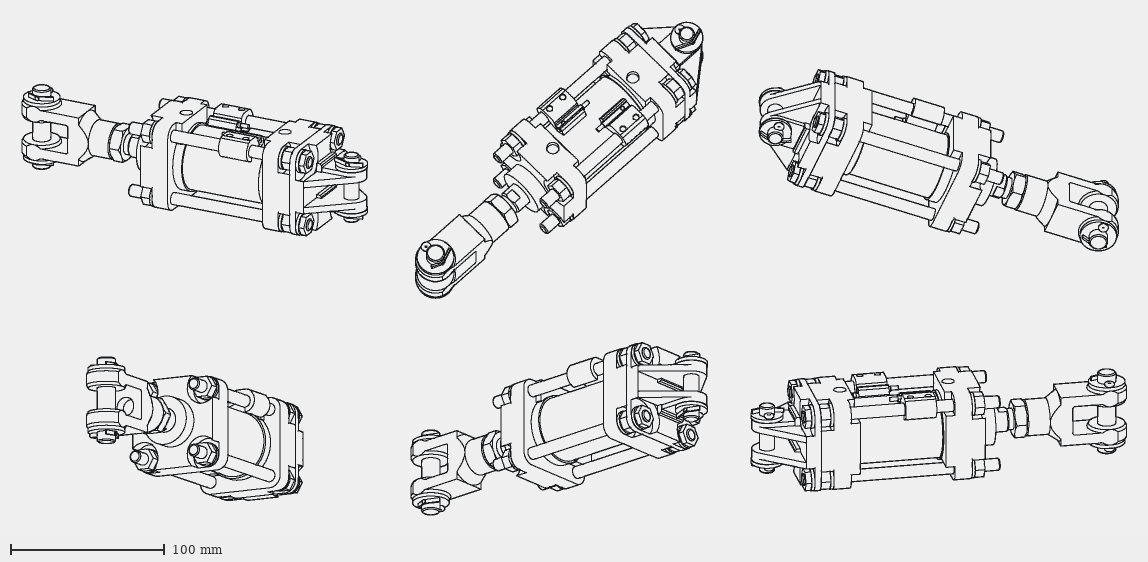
import cadquery as cq
import math


clevis_width = 24.0
clevis_height = 34.0
clevis_slot_height = 20.0
clevis_slot_end = 25.0
clevis_slot_fillet = 1.5
clevis_end_radius = 13.0
clevis_boss_height = 2.0
clevis_boss_top_radius = 12.0
clevis_cheek_end = 33.0
clevis_barrel_start = 40.0
clevis_barrel_diameter = 24.0
clevis_barrel_end = 55.0
clevis_barrel_chamfer = 0.7
clevis_pin_diameter = 12.0
clevis_pin_length = 55.6
clevis_washer_diameter = 24.0
clevis_washer_thickness = 2.4
pin_chamfer = 0.8

rod_diameter = 16.0
rod_thread_diameter = 14.0
rod_tip_diameter = 12.38
rod_tip_start = clevis_slot_end + 8.0
lock_nut_flats = 22.0
lock_nut_length = 8.0
nut_chamfer = 0.8
rod_shoulder = 66.4
rod_shoulder_chamfer = 1.0
rod_flats = 14.0
rod_flats_end = 72.5

section = 60.0
tie_offset = 22.0
corner_radius = section / 2 - tie_offset
cover_start = 77.0
cover_diameter = 32.0
head_front = 87.0
head_length = 20.0
barrel_length = 69.0
barrel_diameter = 43.0
collar_diameter = 45.5
collar_length = 6.5
tie_diameter = 8.0
tie_start = 76.0
tie_chamfer = 0.8
tie_nut_flats = 13.0
tie_nut_length = 6.5
tie_washer_diameter = 15.4
tie_washer_thickness = 2.0
pocket_radius = 11.0
pocket_depth = tie_nut_length + tie_washer_thickness
port_diameter = 8.0
port_depth = 4.0
port_setback = 1.5
boss_width = 36.0
port_boss_bottom = 15.3
port_boss_length = 4.5
side_boss_length = 6.0

plate_thickness = 10.0
plate_pocket_depth = 5.8
plate_pocket_radius = 13.2
tie_overhang = 1.0
rear_pin_distance = 20.0
lug_radius = 10.0
lug_inner = 7.0
lug_outer = 14.5
gusset_outer = 11.4
lug_root_length = 3.5
lug_root_width = 21.6
lug_root_inner = 5.0
lug_root_outer = 17.2
lug_root_chamfer = 1.0
rear_pin_diameter = 10.0
rear_pin_length = 46.2
rear_washer_diameter = 21.0
rear_washer_thickness = 2.5

split_wire = 2.7
split_leg_thickness = 1.3
split_eye_radius = 1.9
split_stem = 1.4
split_bedding = 0.1

switch_start = 119.0
switch_length = 20.4
switch_top = section / 2
switch_hook_side = 29.1
switch_hook_bottom = 14.7
switch_shoulder = 16.8
switch_shoulder_radius = 4.5
switch_top_end = 23.7
switch_upper_bevel = (26.0, 29.0)
switch_lower_bevel = (28.2, 26.0)
switch_lip_top = 27.5
switch_lip_inner = 8.5
switch_lip_outer = 7.1
switch_lip_bevel = (5.5, 26.2)
switch_lip_toe = (3.8, 22.4)
switch_sole_start = 6.0
switch_sole_end = 10.0
slot_tilt = 21.0
slot_floor = 24.2
slot_width = 4.2
slot_depth = 6.0
sensor_diameter = 4.0
sensor_flat_height = 3.3
sensor_bedding = 0.2
sensor_overhang = 1.6
cable_diameter = 2.7
cable_length = 5.2
trim_diameter = 2.5
trim_depth = 0.8
trim_inset = 5.0
screw_diameter = 4.0
screw_recess = 1.5
screw_pitch = 11.8
screw_first = 4.2
screw_y = 21.6

head_rear = head_front + head_length
rear_head_front = head_rear + barrel_length
rear_head_rear = rear_head_front + head_length
plate_rear = rear_head_rear + plate_thickness
rear_pin_x = plate_rear + rear_pin_distance
cylinder_middle = (head_front + rear_head_rear) / 2
tie_points = [(y * tie_offset, z * tie_offset) for y in (-1, 1) for z in (-1, 1)]


def at_x(x):
    """Workplane across the cylinder axis: local x is Y, local y is Z, normal is +X."""
    return cq.Workplane("YZ", origin=(x, 0, 0))


def rod_along_x(diameter, start, end, y=0.0, z=0.0):
    return at_x(start).center(y, z).circle(diameter / 2).extrude(end - start)


def block(x, y, z):
    """Box from three (low, high) ranges."""
    return cq.Workplane("XY").box(
        x[1] - x[0], y[1] - y[0], z[1] - z[0], centered=False
    ).translate((x[0], y[0], z[0]))


def hex_prism(flats, start, length, y=0.0, z=0.0):
    """Hexagon along X with two flats facing +Z and -Z."""
    corners = flats / math.cos(math.pi / 6)
    return at_x(start).center(y, z).polygon(6, corners).extrude(length)


def both_ends(upper):
    """A feature and its mirror image below the XY plane."""
    return upper.union(upper.mirror("XY"))


def make_rod_clevis():
    half_width = clevis_width / 2
    half_height = clevis_height / 2
    half_slot = clevis_slot_height / 2
    barrel_radius = clevis_barrel_diameter / 2

    cheeks = block((0, clevis_cheek_end), (-half_width, half_width), (-half_height, half_height))
    cheeks = cheeks.union(
        cq.Workplane("XY", origin=(0, 0, -half_height)).circle(clevis_end_radius).extrude(clevis_height)
    )
    slot = block((-clevis_end_radius, clevis_slot_end), (-half_width, half_width), (-half_slot, half_slot))
    slot = slot.union(
        block((-clevis_end_radius, 0), (-clevis_width, clevis_width), (-half_slot, half_slot))
    )
    slot = slot.edges("|Y and >X").fillet(clevis_slot_fillet)

    boss_profile = [
        (0, half_slot - clevis_boss_height),
        (clevis_boss_top_radius, half_slot - clevis_boss_height),
        (clevis_end_radius, half_slot),
        (clevis_end_radius, half_height),
        (clevis_boss_top_radius, half_height + clevis_boss_height),
        (0, half_height + clevis_boss_height),
    ]
    boss = cq.Workplane("XZ").polyline(boss_profile).close().revolve(360, (0, 0), (0, 1))

    taper_profile = [
        (clevis_cheek_end, 0),
        (clevis_cheek_end, half_height),
        (clevis_barrel_start, barrel_radius),
        (clevis_barrel_start, 0),
    ]
    taper = cq.Workplane("XY").polyline(taper_profile).close().revolve(360, (0, 0), (1, 0))
    barrel = rod_along_x(clevis_barrel_diameter, clevis_barrel_start, clevis_barrel_end)
    barrel = barrel.faces(">X").chamfer(clevis_barrel_chamfer)

    side_limit = block(
        (-clevis_end_radius, clevis_barrel_end), (-half_width, half_width), (-clevis_height, clevis_height)
    )
    pin_hole = cq.Workplane("XY", origin=(0, 0, -clevis_height)).circle(clevis_pin_diameter / 2)
    return (
        cheeks.cut(slot)
        .union(both_ends(boss))
        .union(taper)
        .union(barrel)
        .intersect(side_limit)
        .cut(pin_hole.extrude(2 * clevis_height))
        .cut(rod_along_x(rod_tip_diameter, clevis_slot_end - clevis_slot_fillet, clevis_barrel_end))
    )


def make_split_pin(pin_radius, eye_y, left_tip, right_tip):
    """Split pin along Y at Z = 0: an eye on +Y and two legs bent back around the pin."""
    eye = cq.Workplane("XZ", origin=(0, eye_y, 0)).center(split_eye_radius, 0).circle(split_wire / 2)
    eye = eye.revolve(360, (-split_eye_radius, 0), (-split_eye_radius, 1))
    root = (0, -pin_radius - split_leg_thickness / 2)
    stem_length = pin_radius + split_stem
    stem = cq.Workplane("XZ").circle(split_wire / 2).extrude(stem_length)
    split_pin = eye.union(stem)
    for tip in (left_tip, right_tip):
        run_x = tip[0] - root[0]
        run_y = tip[1] - root[1]
        leg = (
            cq.Workplane("XY")
            .box(math.hypot(run_x, run_y), split_leg_thickness, split_wire, centered=(False, True, True))
            .rotate((0, 0, 0), (0, 0, 1), math.degrees(math.atan2(run_y, run_x)))
            .translate((root[0], root[1], 0))
        )
        split_pin = split_pin.union(leg)
    return split_pin


def make_pin(x, diameter, length, washer_diameter, washer_thickness, washer_base, split_pin):
    pin = cq.Workplane("XY", origin=(0, 0, -length / 2)).circle(diameter / 2).extrude(length)
    pin = pin.faces("<Z or >Z").chamfer(pin_chamfer)
    washer = cq.Workplane("XY", origin=(0, 0, washer_base)).circle(washer_diameter / 2)
    washer = washer.extrude(washer_thickness)
    split_z = washer_base + washer_thickness + split_wire / 2 - split_bedding
    ends = washer.union(split_pin.translate((0, 0, split_z)))
    return pin.union(both_ends(ends)).translate((x, 0, 0))


def make_piston_rod():
    nut_start = clevis_barrel_end
    tip = rod_along_x(rod_tip_diameter, rod_tip_start, nut_start)
    thread = rod_along_x(rod_thread_diameter, nut_start, rod_shoulder)
    shank = rod_along_x(rod_diameter, rod_shoulder, head_rear).faces("<X").chamfer(rod_shoulder_chamfer)
    for side in (-1, 1):
        flat = block((rod_shoulder, rod_flats_end), (-rod_diameter, rod_diameter), (0, rod_diameter))
        flat = flat.translate((0, 0, rod_flats / 2))
        shank = shank.cut(flat if side > 0 else flat.mirror("XY"))

    corner_disc = rod_along_x(
        lock_nut_flats / math.cos(math.pi / 6), nut_start, nut_start + lock_nut_length
    )
    corner_disc = corner_disc.faces("<X or >X").chamfer(nut_chamfer, 2 * nut_chamfer)
    nut = hex_prism(lock_nut_flats, nut_start, lock_nut_length).intersect(corner_disc)
    return tip.union(thread).union(shank).union(nut)


def end_block(start, length):
    """Square block across the axis with its corners rounded about the tie rods."""
    return at_x(start).rect(section, section).extrude(length).edges("|X").fillet(corner_radius)


def corner_pockets(start, depth, radius):
    return at_x(start).pushPoints(tie_points).circle(radius).extrude(depth)


def make_front_head():
    half = section / 2
    half_boss = boss_width / 2
    port_x = head_rear - port_setback
    head = end_block(head_front, head_length)
    head = head.cut(corner_pockets(head_front, pocket_depth, pocket_radius))
    port_boss = block(
        (head_rear, head_rear + port_boss_length), (-half_boss, half_boss), (port_boss_bottom, half)
    )
    side_boss = block(
        (head_rear, head_rear + side_boss_length), (port_boss_bottom, half), (-half_boss, half_boss)
    )
    collar = rod_along_x(collar_diameter, head_rear, head_rear + collar_length)
    port = cq.Workplane("XY", origin=(port_x, 0, half - port_depth)).circle(port_diameter / 2)
    return head.union(port_boss).union(side_boss).union(collar).cut(port.extrude(port_depth))


def make_cylinder():
    front_head = make_front_head()
    rear_head = front_head.mirror("YZ", (cylinder_middle, 0, 0))
    cover = rod_along_x(cover_diameter, cover_start, head_front)
    barrel = rod_along_x(barrel_diameter, head_rear, rear_head_front)
    cylinder = front_head.union(rear_head).union(cover).union(barrel)

    rear_washer_start = plate_rear - plate_pocket_depth
    rear_nut_start = rear_washer_start + tie_washer_thickness
    fastenings = [
        (head_front, tie_nut_length, head_front + tie_nut_length),
        (rear_head_rear - tie_nut_length, tie_nut_length, rear_head_rear - pocket_depth),
        (rear_nut_start, plate_rear - rear_nut_start, rear_washer_start),
    ]
    for y, z in tie_points:
        tie_rod = rod_along_x(tie_diameter, tie_start, plate_rear + tie_overhang, y, z)
        cylinder = cylinder.union(tie_rod.faces("<X or >X").chamfer(tie_chamfer))
        for nut_start, nut_length, washer_start in fastenings:
            washer_end = washer_start + tie_washer_thickness
            nut = hex_prism(tie_nut_flats, nut_start, nut_length, y, z)
            washer = rod_along_x(tie_washer_diameter, washer_start, washer_end, y, z)
            cylinder = cylinder.union(nut).union(washer)
    return cylinder.cut(rod_along_x(rod_diameter, cover_start, head_rear))


def make_rear_bracket():
    half = section / 2
    plate = end_block(rear_head_rear, plate_thickness)
    plate = plate.cut(
        corner_pockets(plate_rear - plate_pocket_depth, plate_pocket_depth, plate_pocket_radius)
    )

    reach = math.hypot(rear_pin_distance, half)
    tangent_angle = math.pi - math.atan2(half, rear_pin_distance) - math.acos(lug_radius / reach)
    tangent_x = rear_pin_x + lug_radius * math.cos(tangent_angle)
    tangent_y = lug_radius * math.sin(tangent_angle)
    gusset = (
        cq.Workplane("XY", origin=(0, 0, lug_inner))
        .moveTo(plate_rear, -half)
        .lineTo(tangent_x, -tangent_y)
        .threePointArc((rear_pin_x + lug_radius, 0), (tangent_x, tangent_y))
        .lineTo(plate_rear, half)
        .close()
        .extrude(gusset_outer - lug_inner)
    )
    lug = block((plate_rear, rear_pin_x), (-lug_radius, lug_radius), (lug_inner, lug_outer))
    lug_end = cq.Workplane("XY", origin=(rear_pin_x, 0, lug_inner)).circle(lug_radius)
    lug = lug.union(lug_end.extrude(lug_outer - lug_inner))
    root = block(
        (plate_rear, plate_rear + lug_root_length),
        (-lug_root_width / 2, lug_root_width / 2),
        (lug_root_inner, lug_root_outer),
    )
    root = root.edges("|Y and >X").chamfer(lug_root_chamfer)

    pin_hole = cq.Workplane("XY", origin=(rear_pin_x, 0, -half)).circle(rear_pin_diameter / 2)
    return (
        plate.union(both_ends(gusset.union(lug).union(root)))
        .cut(pin_hole.extrude(section))
        .cut(corner_pockets(rear_head_rear, plate_thickness, tie_diameter / 2))
    )


def make_switch_bracket():
    """Hook over a tie rod with an arm that rests on the barrel."""
    barrel_radius = barrel_diameter / 2
    tie_radius = tie_diameter / 2
    tie_mid = tie_radius * math.sqrt(0.5)
    shoulder_z = switch_top - switch_shoulder_radius
    shoulder_mid = switch_shoulder_radius * math.sqrt(0.5)
    sole_y = (switch_sole_start + switch_sole_end) / 2

    def on_barrel(y):
        return (y, math.sqrt(barrel_radius**2 - y**2))

    return (
        at_x(switch_start)
        .moveTo(*switch_lip_toe)
        .lineTo(*switch_lip_bevel)
        .lineTo(switch_lip_outer, switch_lip_top)
        .lineTo(switch_lip_inner, switch_lip_top)
        .lineTo(switch_shoulder - switch_shoulder_radius, shoulder_z)
        .threePointArc(
            (switch_shoulder - shoulder_mid, shoulder_z + shoulder_mid), (switch_shoulder, switch_top)
        )
        .lineTo(switch_top_end, switch_top)
        .lineTo(*switch_upper_bevel)
        .lineTo(*switch_lower_bevel)
        .threePointArc((switch_hook_side, tie_offset), (tie_offset, switch_hook_bottom))
        .lineTo(tie_offset, tie_offset - tie_radius)
        .threePointArc((tie_offset + tie_mid, tie_offset + tie_mid), (tie_offset - tie_radius, tie_offset))
        .lineTo(*on_barrel(switch_sole_end))
        .threePointArc(on_barrel(sole_y), on_barrel(switch_sole_start))
        .close()
        .extrude(switch_length)
    )


def make_switch():
    """Switch bracket with two clamp screw holes and a sensor in a slot square to the barrel."""
    switch_end = switch_start + switch_length
    sensor_end = switch_end + sensor_overhang
    sensor_base = slot_floor - sensor_bedding
    sensor_z = sensor_base + sensor_diameter / 2
    sensor_top = sensor_base + sensor_flat_height
    half_slot = slot_width / 2

    slot = block((switch_start, switch_end), (-half_slot, half_slot), (slot_floor, slot_floor + slot_depth))
    sensor = rod_along_x(sensor_diameter, switch_start, sensor_end, 0, sensor_z)
    sensor = sensor.intersect(
        block((switch_start, sensor_end), (-half_slot, half_slot), (sensor_base, sensor_top))
    )
    trim = cq.Workplane("XY", origin=(switch_start + trim_inset, 0, sensor_top - trim_depth))
    sensor = sensor.cut(trim.circle(trim_diameter / 2).extrude(trim_depth))
    cable = rod_along_x(cable_diameter, sensor_end, sensor_end + cable_length, 0, sensor_z)
    sensor = sensor.union(cable)

    def tilt(shape):
        return shape.rotate((0, 0, 0), (1, 0, 0), -slot_tilt)

    switch = make_switch_bracket().cut(tilt(slot)).union(tilt(sensor))
    screw_points = [(switch_start + screw_first + i * screw_pitch, screw_y) for i in range(2)]
    holes = cq.Workplane("XY", origin=(0, 0, switch_top - screw_recess)).pushPoints(screw_points)
    return switch.cut(holes.circle(screw_diameter / 2).extrude(screw_recess))


rod_clevis = make_rod_clevis()
piston_rod = make_piston_rod()
cylinder = make_cylinder()
rear_bracket = make_rear_bracket()
clevis_pin = make_pin(
    0,
    clevis_pin_diameter,
    clevis_pin_length,
    clevis_washer_diameter,
    clevis_washer_thickness,
    clevis_height / 2 + clevis_boss_height,
    make_split_pin(clevis_pin_diameter / 2, 8.9, (-7.3, -3.8), (10.0, -2.8)),
)
rear_pin = make_pin(
    rear_pin_x,
    rear_pin_diameter,
    rear_pin_length,
    rear_washer_diameter,
    rear_washer_thickness,
    lug_outer,
    make_split_pin(rear_pin_diameter / 2, 6.6, (-11.4, -1.0), (9.4, -2.5)),
)
switch = make_switch()
switches = [
    switch.rotate((cylinder_middle, 0, 0), (cylinder_middle, 0, 1), angle).val() for angle in (0, 180)
]

result = cq.Compound.makeCompound(
    [
        rod_clevis.val(),
        clevis_pin.val(),
        piston_rod.val(),
        cylinder.val(),
        rear_bracket.val(),
        rear_pin.val(),
        *switches,
    ]
)